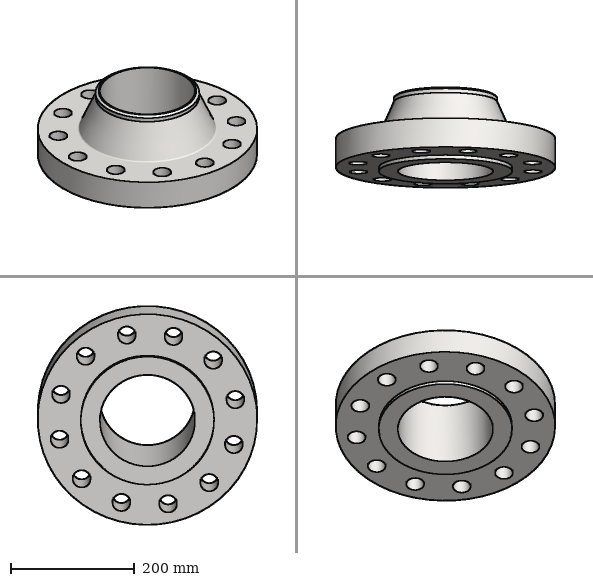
import cadquery as cq

flange_diameter = 355.5
flange_thickness = 47.5
raised_face_diameter = 215.8
raised_face_height = 6.5
overall_height = 123.7

bolt_circle_diameter = 292.2
bolt_hole_diameter = 28.8
bolt_hole_count = 12

hub_base_diameter = 222.2
hub_fillet_radius = 3.0
neck_diameter = 168.0
neck_height = 6.8
bore_diameter = 154.0

land_width = 2.0
bevel_height = 3.2

neck_top = overall_height - raised_face_height
bevel_base = neck_top - bevel_height
taper_top = bevel_base - neck_height
land_radius = bore_diameter / 2 + land_width


def make_body():
    """Revolve the raised face, plate, hub and weld neck as one solid."""
    outline = [
        (0, -raised_face_height),
        (raised_face_diameter / 2, -raised_face_height),
        (raised_face_diameter / 2, 0),
        (flange_diameter / 2, 0),
        (flange_diameter / 2, flange_thickness),
        (hub_base_diameter / 2, flange_thickness),
        (neck_diameter / 2, taper_top),
        (neck_diameter / 2, bevel_base),
        (land_radius, neck_top),
        (0, neck_top),
    ]
    return cq.Workplane("XZ").polyline(outline).close().revolve(360, (0, 0, 0), (0, 1, 0))


def fillet_hub_base(body):
    """Round the inside corner where the hub rises from the plate."""
    margin = 0.5
    reach = hub_base_diameter / 2 + margin
    hub_base_edge = cq.selectors.BoxSelector(
        (-reach, -reach, flange_thickness - margin),
        (reach, reach, flange_thickness + margin),
        boundingbox=True,
    )
    return body.edges(hub_base_edge).fillet(hub_fillet_radius)


def make_bore():
    """Straight bore through the full height."""
    return (
        cq.Workplane("XY")
        .workplane(offset=-raised_face_height)
        .circle(bore_diameter / 2)
        .extrude(overall_height)
    )


def make_bolt_holes():
    """Ring of plain holes through the plate, the first one on the X axis."""
    return (
        cq.Workplane("XY")
        .polarArray(bolt_circle_diameter / 2, 0, 360, bolt_hole_count)
        .circle(bolt_hole_diameter / 2)
        .extrude(flange_thickness)
    )


result = fillet_hub_base(make_body()).cut(make_bore()).cut(make_bolt_holes())